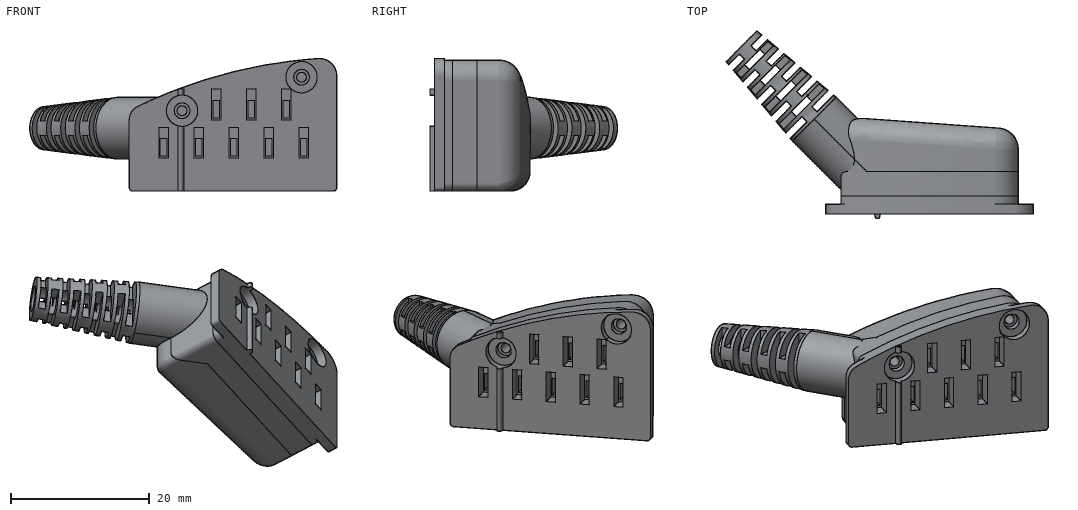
import cadquery as cq
import math


PLATE_WIDTH = 29.9
FLANGE_THICKNESS = 1.4
PLATE_DEPTH = 2.55
PLATE_LEFT_RADIUS = 2.15
PLATE_RIGHT_RADIUS = 2.52
PLATE_BOTTOM_RADIUS = 0.55

ARCH_LEFT_HEIGHT = 11.6
ARCH_MIDDLE_X = 14.15
ARCH_MIDDLE_HEIGHT = 17.0
ARCH_RIGHT_HEIGHT = 19.25

HOUSING_LEFT = 2.15
HOUSING_RIGHT = 27.75
HOUSING_TOP_LEFT_RADIUS = 0.97
HOUSING_TOP_RIGHT_RADIUS = 3.0
HOUSING_BOTTOM_RADIUS = 1.1
BACK_LEFT_DEPTH = 14.05
BACK_SLOPE = 4.1
BACK_RADIUS = 3.05

AXIS_X = 5.95
AXIS_Y = 6.1
AXIS_Z = 9.07
AXIS_ANGLE = 45.0
SLEEVE_RADIUS = 4.45
SLEEVE_LENGTH = 10.7

TIP_RADIUS = 3.15
BORE_RADIUS = 1.85
BOOT_LENGTH = 14.83
CUT_WIDTH = 1.0
FIRST_CUT = 0.5
NOTCHES = 5
FRONT_PITCH = 3.2
BACK_PITCH = 3.1
BRIDGE_WIDTH = 2.05
CUT_REACH = 2 * SLEEVE_RADIUS
FRONT_SIDE = 1
BACK_SIDE = -1

SLOT_WIDTH = 1.35
SLOT_HEIGHT = 4.43
FIRST_SLOT_X = 4.95
LOWER_ROW_Z = 7.0
UPPER_ROW_Z = 12.5
LOWER_SLOTS = 5
LOWER_ROW_LENGTH = 20.2
SLOT_PITCH = LOWER_ROW_LENGTH / (LOWER_SLOTS - 1)
UPPER_SLOTS = 3
UPPER_ROW_SHIFT = 1.5 * SLOT_PITCH
POCKET_WIDTH = 0.97
POCKET_HEIGHT = 2.5
POCKET_RISE = 0.3
POCKET_DEPTH = 2.2
POCKET_OFFSET = POCKET_RISE + (POCKET_HEIGHT - SLOT_HEIGHT) / 2

SCREW_CENTRES = [(7.6, 11.6), (24.85, 16.4)]
HEAD_DIAMETER = 4.5
CLEARANCE_DIAMETER = 2.25
PILOT_DIAMETER = 1.4

RIB_LEFT = 7.05
RIB_WIDTH = 0.85
RIB_HEIGHT = 0.65
RIB_TOP = 14.75
RIB_SHOULDER = 0.4
RIB_SIDE_TAPER = 0.1

slot_centres = [(FIRST_SLOT_X + i * SLOT_PITCH, LOWER_ROW_Z) for i in range(LOWER_SLOTS)]
slot_centres += [(FIRST_SLOT_X + UPPER_ROW_SHIFT + i * SLOT_PITCH, UPPER_ROW_Z) for i in range(UPPER_SLOTS)]

MARGIN = 4.43



def front_plane(y):
    """Plane at depth y whose local X and Y run along world X and Z."""
    return cq.Workplane("XZ", origin=(0, y, 0))


def axis_plane(distance):
    """Plane across the cable axis, facing outward along it, with local Y along world Z."""
    angle = math.radians(AXIS_ANGLE)
    outward = (-math.cos(angle), math.sin(angle), 0)
    origin = (AXIS_X + distance * outward[0], AXIS_Y + distance * outward[1], AXIS_Z)
    across = (-outward[1], outward[0], 0)
    return cq.Workplane(cq.Plane(origin=origin, xDir=across, normal=outward))


def arch_block(left, right, y_start, y_end):
    """Block with straight sides under the arch, between two depths."""
    arch = (
        front_plane(y_start)
        .lineTo(0, ARCH_LEFT_HEIGHT)
        .threePointArc((ARCH_MIDDLE_X, ARCH_MIDDLE_HEIGHT), (PLATE_WIDTH, ARCH_RIGHT_HEIGHT))
        .lineTo(PLATE_WIDTH, 0)
        .close()
        .extrude(y_start - y_end)
    )
    span = (
        front_plane(y_start)
        .center((left + right) / 2, 0)
        .rect(right - left, 2 * (ARCH_RIGHT_HEIGHT + MARGIN))
        .extrude(y_start - y_end)
    )
    return arch.intersect(span)


def round_corners(block, side, level, radius):
    """Round the depth-wise edges at one side (">X" or "<X") and level (">Z" or "<Z")."""
    corner = block.edges("|Y").edges(side).edges(level)
    return corner.fillet(radius)


def rectangles(centres, width, height, y_start, y_end):
    return front_plane(y_start).pushPoints(centres).rect(width, height).extrude(y_start - y_end)


def screw_bores(diameter, y_start, y_end):
    return front_plane(y_start).pushPoints(SCREW_CENTRES).circle(diameter / 2).extrude(y_start - y_end)



def back_depth(x):
    """Y of the sloping back at x."""
    return BACK_LEFT_DEPTH - (x - HOUSING_LEFT) * math.tan(math.radians(BACK_SLOPE))


def housing_form():
    form = arch_block(HOUSING_LEFT, HOUSING_RIGHT, FLANGE_THICKNESS, BACK_LEFT_DEPTH + MARGIN)
    left = HOUSING_LEFT - MARGIN
    right = HOUSING_RIGHT + MARGIN
    behind_back = (
        cq.Workplane("XY")
        .moveTo(left, back_depth(left))
        .lineTo(right, back_depth(right))
        .lineTo(right, BACK_LEFT_DEPTH + 2 * MARGIN)
        .lineTo(left, BACK_LEFT_DEPTH + 2 * MARGIN)
        .close()
        .extrude(ARCH_RIGHT_HEIGHT)
    )
    form = form.cut(behind_back)
    form = round_corners(form, ">X", ">Z", HOUSING_TOP_RIGHT_RADIUS)
    form = form.faces(">Y").edges().fillet(BACK_RADIUS)
    form = round_corners(form, "<X", ">Z", HOUSING_TOP_LEFT_RADIUS)
    return form.edges("|Y").edges("<Z").fillet(HOUSING_BOTTOM_RADIUS)



def flange():
    plate = arch_block(0, PLATE_WIDTH, 0, FLANGE_THICKNESS)
    plate = round_corners(plate, "<X", ">Z", PLATE_LEFT_RADIUS)
    plate = round_corners(plate, ">X", ">Z", PLATE_RIGHT_RADIUS)
    return plate.edges("|Y").edges("<Z").fillet(PLATE_BOTTOM_RADIUS)


def key_rib():
    """Tapered rib with a rounded crest, standing out from the plate's face."""
    right = RIB_LEFT + RIB_WIDTH
    return (
        cq.Workplane("XY")
        .moveTo(RIB_LEFT, 0)
        .lineTo(RIB_LEFT + RIB_SIDE_TAPER, -RIB_SHOULDER)
        .threePointArc((RIB_LEFT + RIB_WIDTH / 2, -RIB_HEIGHT), (right - RIB_SIDE_TAPER, -RIB_SHOULDER))
        .lineTo(right, 0)
        .close()
        .extrude(RIB_TOP)
    )


def make_face_plate(form):
    lip = form.intersect(arch_block(0, PLATE_WIDTH, FLANGE_THICKNESS, PLATE_DEPTH))
    plate = flange().union(lip).union(key_rib())
    plate = plate.cut(rectangles(slot_centres, SLOT_WIDTH, SLOT_HEIGHT, 0, PLATE_DEPTH))
    plate = plate.cut(screw_bores(HEAD_DIAMETER, -RIB_HEIGHT, FLANGE_THICKNESS))
    return plate.cut(screw_bores(CLEARANCE_DIAMETER, FLANGE_THICKNESS, PLATE_DEPTH))



def shell_form(form):
    lip_zone = arch_block(0, PLATE_WIDTH, 0, PLATE_DEPTH)
    sleeve = axis_plane(0).circle(SLEEVE_RADIUS).extrude(SLEEVE_LENGTH)
    return form.cut(lip_zone).union(sleeve)


def front_zone():
    """Everything in front of the parting surface."""
    reach = SLEEVE_LENGTH + SLEEVE_RADIUS + MARGIN
    far_left = AXIS_X - reach
    far_right = PLATE_WIDTH + MARGIN
    return (
        cq.Workplane("XY")
        .moveTo(far_right, AXIS_Y)
        .lineTo(AXIS_X, AXIS_Y)
        .lineTo(far_left, AXIS_Y + reach * math.tan(math.radians(AXIS_ANGLE)))
        .lineTo(far_left, -MARGIN)
        .lineTo(far_right, -MARGIN)
        .close()
        .extrude(ARCH_RIGHT_HEIGHT + MARGIN)
    )


def make_front_shell(shells):
    pocket_centres = [(x, z + POCKET_OFFSET) for x, z in slot_centres]
    shell = shells.intersect(front_zone())
    shell = shell.cut(
        rectangles(pocket_centres, POCKET_WIDTH, POCKET_HEIGHT, PLATE_DEPTH, PLATE_DEPTH + POCKET_DEPTH)
    )
    return shell.cut(screw_bores(PILOT_DIAMETER, PLATE_DEPTH, AXIS_Y))


def make_rear_shell(shells):
    return shells.cut(front_zone())



def side_notch(distance, side):
    """Slab that cuts one side of the boot away up to the bridges at its top and bottom."""
    centre = side * (BRIDGE_WIDTH + CUT_REACH) / 2
    return axis_plane(distance).center(centre, 0).rect(CUT_REACH, 2 * CUT_REACH).extrude(CUT_WIDTH)


def through_cuts(distance):
    """Slabs that cut the top and bottom of the boot away down to the bridges at its sides."""
    offset = (BRIDGE_WIDTH + CUT_REACH) / 2
    return (
        axis_plane(distance)
        .pushPoints([(0, offset), (0, -offset)])
        .rect(2 * CUT_REACH, CUT_REACH)
        .extrude(CUT_WIDTH)
    )


def make_strain_relief():
    boot = (
        axis_plane(SLEEVE_LENGTH)
        .circle(SLEEVE_RADIUS)
        .workplane(offset=BOOT_LENGTH)
        .circle(TIP_RADIUS)
        .loft()
    )
    boot = boot.cut(axis_plane(SLEEVE_LENGTH).circle(BORE_RADIUS).extrude(BOOT_LENGTH))
    first = SLEEVE_LENGTH + FIRST_CUT
    for i in range(NOTCHES):
        boot = boot.cut(side_notch(first + i * FRONT_PITCH, FRONT_SIDE))
        boot = boot.cut(side_notch(first + i * BACK_PITCH, BACK_SIDE))
    for i in range(NOTCHES - 1):
        boot = boot.cut(through_cuts(first + (i + 0.5) * FRONT_PITCH))
    return boot



form = housing_form()
shells = shell_form(form)
face_plate = make_face_plate(form)
front_shell = make_front_shell(shells)
rear_shell = make_rear_shell(shells)
strain_relief = make_strain_relief()

result = cq.Compound.makeCompound([
    face_plate.val(),
    front_shell.val(),
    rear_shell.val(),
    strain_relief.val(),
])